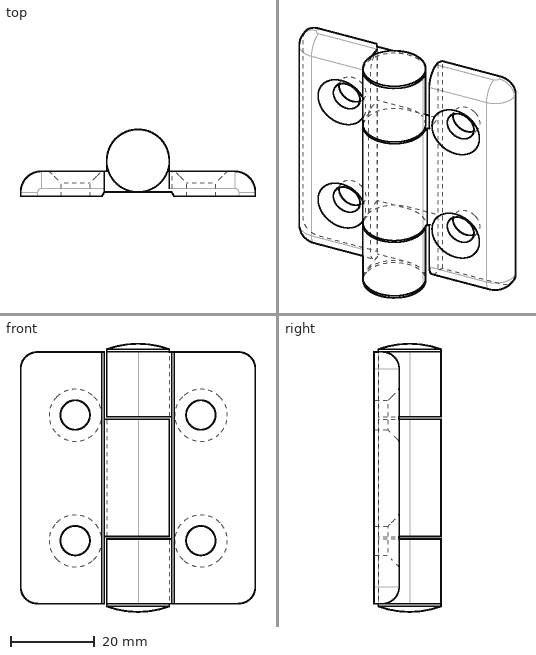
import cadquery as cq
import math

total_height = 64.0
total_width = 56.0
total_depth = 16.0

barrel_radius = 7.5
cap_height = 2.0
cap_rim_height = 0.65

leaf_height = total_height - 2 * cap_height
leaf_thickness = 6.0
leaf_outer_x = total_width / 2
leaf_inner_x = 8.0
leaf_front_y = barrel_radius - total_depth
leaf_back_y = leaf_front_y + leaf_thickness
side_round_radius = 5.0
end_round_radius = 4.0

step_depth = -barrel_radius - leaf_front_y
step_slope_angle = 60.0
step_run = step_depth / math.tan(math.radians(step_slope_angle))

middle_knuckle_height = 28.0
knuckle_gap = 0.5
end_knuckle_start = middle_knuckle_height / 2 + knuckle_gap
middle_span = (-middle_knuckle_height / 2, middle_knuckle_height / 2)
end_spans = [
    (-leaf_height / 2, -end_knuckle_start),
    (end_knuckle_start, leaf_height / 2),
]

hole_diameter = 7.0
countersink_depth = 2.75
countersink_diameter = hole_diameter + 2 * countersink_depth
hole_x = 15.0
hole_z = 15.0


def block(x_range, y_range, z_range):
    """Axis-aligned box between the given limits."""
    size = [limits[1] - limits[0] for limits in (x_range, y_range, z_range)]
    corner = (x_range[0], y_range[0], z_range[0])
    return cq.Workplane("XY").box(*size, centered=False).translate(corner)


def make_plate():
    """Right-hand plate with its rounded back edges, reaching in to the barrel's side."""
    plate = block(
        (barrel_radius, leaf_outer_x),
        (leaf_front_y, leaf_back_y),
        (-leaf_height / 2, leaf_height / 2),
    )
    plate = plate.edges("|Z and >X and >Y").fillet(side_round_radius)
    end_edges = plate.edges("(>Z or <Z) and (not <Y) and (not <X)")
    return end_edges.fillet(end_round_radius)


def make_front_step():
    """Cutter for the sloped step on the front of the plate beside the barrel."""
    return (
        cq.Workplane("XY", origin=(0, 0, -leaf_height / 2))
        .moveTo(0, leaf_front_y)
        .lineTo(leaf_inner_x + step_run, leaf_front_y)
        .lineTo(leaf_inner_x, -barrel_radius)
        .lineTo(0, -barrel_radius)
        .close()
        .extrude(leaf_height)
    )


def make_screw_hole(z):
    """Cutter for one screw hole at height z, widening to the back face."""
    back = cq.Workplane("XZ", origin=(hole_x, leaf_back_y, z))
    shank = back.circle(hole_diameter / 2).extrude(leaf_thickness)
    head = cq.Solid.makeCone(
        countersink_diameter / 2,
        hole_diameter / 2,
        countersink_depth,
        pnt=cq.Vector(hole_x, leaf_back_y, z),
        dir=cq.Vector(0, -1, 0),
    )
    return shank.union(cq.Workplane(head))


def make_knuckle(span):
    """Round knuckle with a square web on its front right quarter."""
    bottom, top = span
    return (
        cq.Workplane("XY", origin=(0, 0, bottom))
        .moveTo(0, -barrel_radius)
        .lineTo(barrel_radius, -barrel_radius)
        .lineTo(barrel_radius, 0)
        .threePointArc((0, barrel_radius), (-barrel_radius, 0))
        .radiusArc((0, -barrel_radius), -barrel_radius)
        .close()
        .extrude(top - bottom)
    )


def make_leaf(knuckle_spans, clearance_spans):
    """Right-hand leaf with knuckles, cleared where the other leaf's knuckles turn."""
    leaf = make_plate().cut(make_front_step())
    for z in (-hole_z, hole_z):
        leaf = leaf.cut(make_screw_hole(z))
    for span in clearance_spans:
        leaf = leaf.cut(block((0, leaf_inner_x), (leaf_front_y, leaf_back_y), span))
    for span in knuckle_spans:
        leaf = leaf.union(make_knuckle(span))
    return leaf.solids()


def make_cap():
    """Upper barrel cap: a short cylindrical rim under a shallow spherical dome."""
    dome_rise = cap_height - cap_rim_height
    dome_radius = (barrel_radius**2 + dome_rise**2) / (2 * dome_rise)
    return (
        cq.Workplane("XZ")
        .moveTo(0, leaf_height / 2)
        .lineTo(barrel_radius, leaf_height / 2)
        .lineTo(barrel_radius, leaf_height / 2 + cap_rim_height)
        .radiusArc((0, total_height / 2), -dome_radius)
        .close()
        .revolve(360, (0, 0, 0), (0, 1, 0))
    )


middle_clearance = (-end_knuckle_start, end_knuckle_start)
end_clearances = [
    (-leaf_height / 2, middle_span[0]),
    (middle_span[1], leaf_height / 2),
]
right_leaf = make_leaf(end_spans, [middle_clearance]).val()
left_leaf = make_leaf([middle_span], end_clearances).val().mirror("YZ")

caps = []
for turn in (0, 180):
    caps.append(make_cap().rotate((0, 0, 0), (1, 0, 0), turn).val())

result = cq.Compound.makeCompound([right_leaf, left_leaf, *caps])